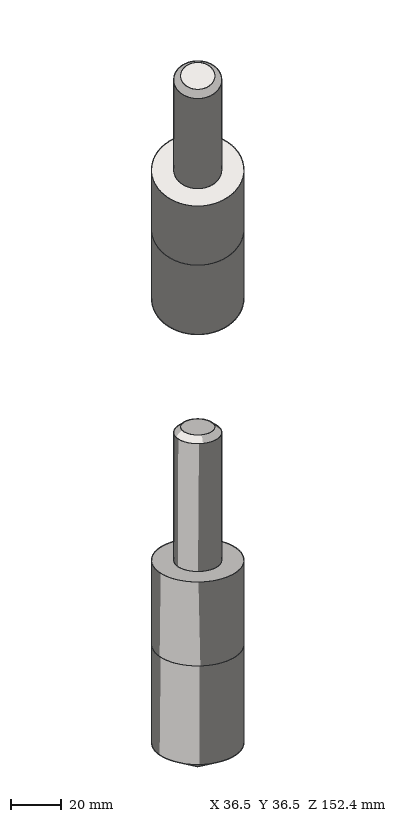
import cadquery as cq

total_length = 152.4
body_diameter = 36.5
shank_diameter = 19.0
shank_length = 59.7
chamfer_width = 2.7
chamfer_height = 2.5
tip_height = 10.8
joint_height = 55.0

body_radius = body_diameter / 2
shank_radius = shank_diameter / 2
shoulder_height = total_length - shank_length


def make_holder():
    """Cylindrical holder with a slimmer, chamfered shank on top."""
    profile = [
        (0, joint_height),
        (body_radius, joint_height),
        (body_radius, shoulder_height),
        (shank_radius, shoulder_height),
        (shank_radius, total_length - chamfer_height),
        (shank_radius - chamfer_width, total_length),
        (0, total_length),
    ]
    return cq.Workplane("XZ").polyline(profile).close().revolve(360, (0, 0), (0, 1))


def make_tip():
    """Cylindrical end piece with a conical point, flat against the holder."""
    profile = [
        (0, 0),
        (body_radius, tip_height),
        (body_radius, joint_height),
        (0, joint_height),
    ]
    return cq.Workplane("XZ").polyline(profile).close().revolve(360, (0, 0), (0, 1))


holder = make_holder()
tip = make_tip()
result = cq.Compound.makeCompound([holder.val(), tip.val()])